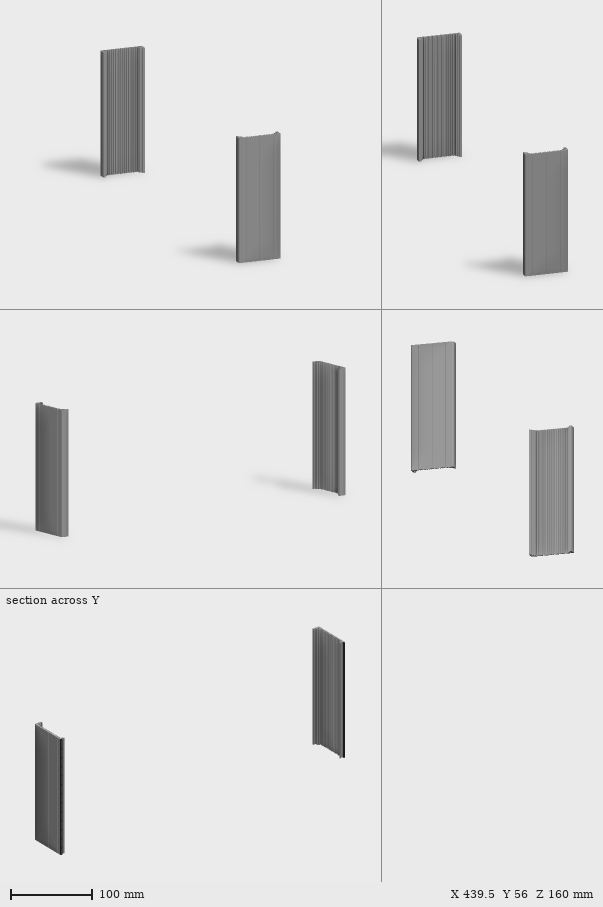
import cadquery as cq

SPAN = 439.5
WIDTH = 56.0
LENGTH = 160.0
HALF_WIDTH = WIDTH / 2
OUTER_X = -SPAN / 2

DEPTH = 10.0
WALL = 3.0
OUTER_RADIUS = 1.55

GROOVE_COUNT = 15
GROOVE_PITCH = 2.9
GROOVE_WIDTH = 1.85
GROOVE_DEPTH = 1.55
RIB_WIDTH = GROOVE_PITCH - GROOVE_WIDTH

BLOCK_SIZE = (WIDTH - (GROOVE_COUNT - 1) * GROOVE_PITCH - GROOVE_WIDTH) / 2
BLOCK_NOTCH = 1.55

HOLE_INSET = 4.0
HOLE_DIAMETER = 2.8

FLANGE_GROOVE_END = DEPTH - RIB_WIDTH

SLOT_COUNT = 3
SLOT_PITCH = 18.0
SLOT_WIDTH = 0.65
SLOT_DEPTH = 1.0


def full_length_bar(x_start, x_end, y_start, y_end):
    """Bar as long as the channel; x is measured inward from the outer face of the left channel."""
    bar = cq.Workplane("XY").box(x_end - x_start, y_end - y_start, LENGTH, centered=False)
    return bar.translate((OUTER_X + x_start, y_start, -LENGTH / 2))


def centered_row(count, pitch):
    """Y positions of evenly spaced features, centred on the channel."""
    return [(i - (count - 1) / 2) * pitch for i in range(count)]


def plain_channel():
    """U section with rounded outer corners."""
    block = full_length_bar(0, DEPTH, -HALF_WIDTH, HALF_WIDTH)
    block = block.edges("|Z and <X").fillet(OUTER_RADIUS)
    cavity = full_length_bar(WALL, DEPTH, -HALF_WIDTH + WALL, HALF_WIDTH - WALL)
    return block.cut(cavity)


def corner_block():
    """Block filling the +Y inner corner, with a square notch in its free corner."""
    block_start = HALF_WIDTH - BLOCK_SIZE
    block = full_length_bar(WALL / 2, BLOCK_SIZE, block_start, HALF_WIDTH - WALL / 2)
    notch = full_length_bar(BLOCK_SIZE - BLOCK_NOTCH, BLOCK_SIZE, block_start, block_start + BLOCK_NOTCH)
    return block.cut(notch)


def screw_hole():
    """Hole through the +Y corner block."""
    center = (OUTER_X + HOLE_INSET, HALF_WIDTH - HOLE_INSET, -LENGTH / 2)
    return cq.Workplane("XY", origin=center).circle(HOLE_DIAMETER / 2).extrude(LENGTH)


def flange_groove():
    """Groove on the inner face of the +Y flange."""
    inner_face = HALF_WIDTH - WALL
    return full_length_bar(BLOCK_SIZE, FLANGE_GROOVE_END, inner_face, inner_face + GROOVE_DEPTH)


def web_groove(y):
    return full_length_bar(WALL - GROOVE_DEPTH, WALL, y - GROOVE_WIDTH / 2, y + GROOVE_WIDTH / 2)


def outer_slot(y):
    return full_length_bar(0, SLOT_DEPTH, y - SLOT_WIDTH / 2, y + SLOT_WIDTH / 2)


def left_channel():
    channel = plain_channel()
    block = corner_block()
    channel = channel.union(block).union(block.mirror("XZ"))
    for cutter in (screw_hole(), flange_groove()):
        channel = channel.cut(cutter).cut(cutter.mirror("XZ"))
    for y in centered_row(GROOVE_COUNT, GROOVE_PITCH):
        channel = channel.cut(web_groove(y))
    for y in centered_row(SLOT_COUNT, SLOT_PITCH):
        channel = channel.cut(outer_slot(y))
    return channel


left = left_channel()
right = left.mirror("YZ")
result = cq.Compound.makeCompound([left.solids().val(), right.solids().val()])